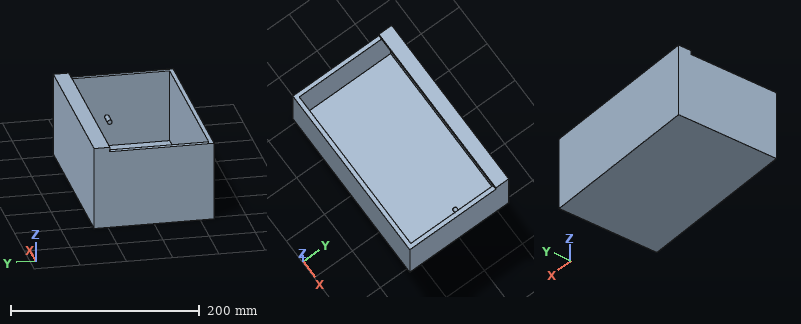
import cadquery as cq

LENGTH = 210.0
WIDTH = 130.0
HEIGHT = 92.0

WALL = 5.0
FLOOR = 7.0

LIP_HEIGHT = 5.0
LIP_DEPTH = 17.0
RIM_HEIGHT = HEIGHT - LIP_HEIGHT

PIN_DIAMETER = 4.9
PIN_LENGTH = 15.0
PIN_Y = 8.0
PIN_Z = 40.0


def block(size_x, size_y, size_z, front_y, bottom_z):
    """Box centred along X, starting at the given front face and bottom."""
    box = cq.Workplane("XY").box(size_x, size_y, size_z, centered=(True, False, False))
    return box.translate((0, front_y, bottom_z))


def make_tray():
    """Rectangular tray, open at the rim."""
    front_y = -WIDTH / 2
    cavity_length = LENGTH - 2 * WALL
    cavity_width = WIDTH - 2 * WALL
    outside = block(LENGTH, WIDTH, RIM_HEIGHT, front_y, 0)
    cavity = block(cavity_length, cavity_width, RIM_HEIGHT - FLOOR, front_y + WALL, FLOOR)
    return outside.cut(cavity)


def make_lip():
    """Bar lying on the rim along the whole back edge."""
    return block(LENGTH, LIP_DEPTH, LIP_HEIGHT, WIDTH / 2 - LIP_DEPTH, RIM_HEIGHT)


def make_pin():
    """Round pin along X, reaching from the end wall's inner face into the cavity."""
    wall_face_x = LENGTH / 2 - WALL
    tip_plane = cq.Workplane("YZ", origin=(wall_face_x - PIN_LENGTH, PIN_Y, PIN_Z))
    return tip_plane.circle(PIN_DIAMETER / 2).extrude(PIN_LENGTH)


result = make_tray().union(make_lip()).union(make_pin())